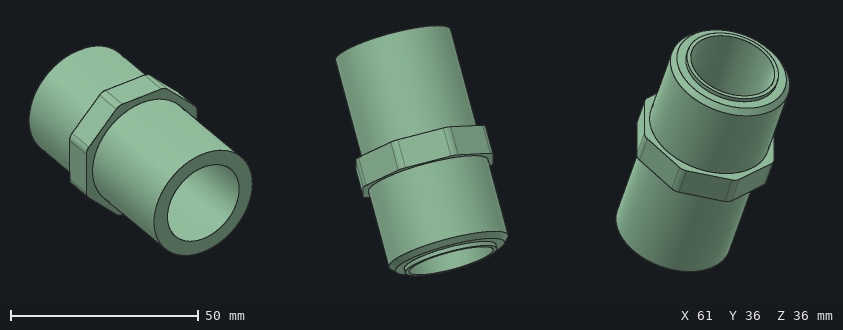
import cadquery as cq
import math

total_length = 61.0
lip_length = 1.15
chamfer_length = 1.5
collar_start = 24.05
collar_width = 7.9

lip_diameter = 25.4
chamfer_end_diameter = 30.3
body_diameter = 33.1
spigot_diameter = 31.95
bore_diameter = 23.25

across_flats = 36.0
corner_radius = 2.8
flat_count = 8

left_end = -total_length / 2
body_start = left_end + lip_length
collar_left = left_end + collar_start
collar_right = collar_left + collar_width


def make_turned_body():
    """Lip, chamfered body and plain spigot, bored through, turned about X."""
    profile = [
        (left_end, bore_diameter / 2),
        (left_end, lip_diameter / 2),
        (body_start, lip_diameter / 2),
        (body_start, chamfer_end_diameter / 2),
        (body_start + chamfer_length, body_diameter / 2),
        (collar_right, body_diameter / 2),
        (collar_right, spigot_diameter / 2),
        (left_end + total_length, spigot_diameter / 2),
        (left_end + total_length, bore_diameter / 2),
    ]
    return cq.Workplane("XY").polyline(profile).close().revolve(360, (0, 0), (1, 0))


def make_collar():
    """Octagonal wrench collar with rounded corners and flats facing Y and Z."""
    half_corner_angle = math.pi / flat_count
    across_corners = across_flats / math.cos(half_corner_angle)
    return (
        cq.Workplane("YZ", origin=(collar_left, 0, 0))
        .transformed(rotate=(0, 0, math.degrees(half_corner_angle)))
        .polygon(flat_count, across_corners)
        .extrude(collar_width)
        .edges("|X")
        .fillet(corner_radius)
        .faces("<X")
        .workplane(origin=(collar_left, 0, 0))
        .hole(bore_diameter)
    )


result = make_turned_body().union(make_collar())